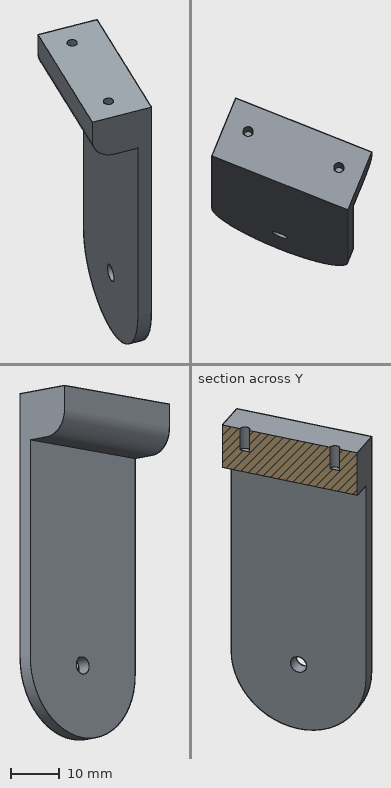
import cadquery as cq

total_height = 70.0
width = 30.0
plate_thickness = 3.0
end_radius = width / 2
pivot_hole_diameter = 3.6

block_depth = 10.0
block_height = 10.0
block_edge_radius = 5.0

top_hole_diameter = 2.0
top_hole_spacing = 20.0
top_hole_from_back = 7.5
top_hole_depth = 5.0

top_z = total_height - end_radius


def make_plate():
    """Upright plate with a semicircular lower end."""
    return (
        cq.Workplane("XZ")
        .moveTo(-end_radius, 0)
        .lineTo(-end_radius, top_z)
        .lineTo(end_radius, top_z)
        .lineTo(end_radius, 0)
        .threePointArc((0, -end_radius), (-end_radius, 0))
        .close()
        .extrude(plate_thickness)
    )


def make_block():
    """Full-width block on the front of the plate, rounded along its lower front edge."""
    return (
        cq.Workplane("XY")
        .box(width, block_depth, block_height, centered=(True, False, False))
        .translate((0, -plate_thickness - block_depth, top_z - block_height))
        .edges("<Y and <Z")
        .fillet(block_edge_radius)
    )


def make_pivot_hole():
    """Cutter for the hole through the centre of the rounded end."""
    return cq.Workplane("XZ").circle(pivot_hole_diameter / 2).extrude(plate_thickness)


def make_top_holes():
    """Cutters for the pair of blind holes in the top face."""
    return (
        cq.Workplane("XY", origin=(0, -top_hole_from_back, top_z))
        .rarray(top_hole_spacing, 0.7, 2, 1)
        .circle(top_hole_diameter / 2)
        .extrude(-top_hole_depth)
    )


result = make_plate().union(make_block()).cut(make_pivot_hole()).cut(make_top_holes())